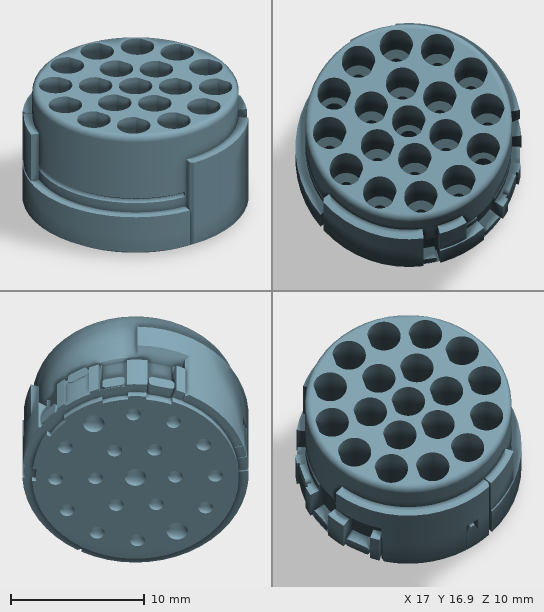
import cadquery as cq
import math

sleeve_radius = 8.5
tab_radius = 8.4
body_radius = 7.75
body_height = 10.0
rim_fillet = 0.46

sleeve_bottom = 0.5
ring_top = 3.48
sleeve_top = 7.5

groove_height = 4.49
groove_depth = 0.29
groove_half_width = 0.2
groove_slope = groove_half_width / groove_depth
relief_radius = body_radius - groove_depth
anchor_radius = 7.14

arm_bottom = groove_height + groove_slope * (sleeve_radius - relief_radius)

contact_ring_radii = {12: 6.0, 6: 3.0, 1: 0.0}
socket_radius = 1.25
socket_flat = 1.15
socket_depth = 5.0
contact_hole_diameter = 1.1
wide_hole_diameter = 1.6
wide_hole_places = [(12, 90), (12, 270), (1, 90)]

slit_front_right = -30.0
slit_front_left = 210.0
slit_rear_left = 147.6
tab_end = 232.5
short_block_start = 142.6
arm_end = 122.5
arm_root = 150.0
relief_left_end = 127.5
side_gap_start = 117.2
rear_block_half_angle = 12.5
right_block_start = 37.4
right_block_end = 52.4
right_sleeve_end = 28.8

slit_width = 0.1
slit_chamfer = 0.25

pad_radius = 8.35
pad_height = 1.0
pad_corner = 0.34
pad_length = 1.7
long_pad_length = 1.97
low_pad_center = 1.15
low_pad_angles = (30, 70, 110)
rear_pad_top = 3.86
rear_pad_inner = 7.92
rear_pocket_half_width = 1.09
rear_pocket_radius = 8.3
web_thickness = 0.03

key_angle = 197.0
key_groove_width = 1.1
key_groove_top = 4.0
key_width = 1.02
key_tip_width = 0.37
key_shoulder = 2.46


def polar(radius, angle):
    """Point at a radius and an angle in degrees."""
    turn = math.radians(angle)
    return radius * math.cos(turn), radius * math.sin(turn)


def sector(inner, outer, start, end, bottom, top):
    """Ring segment between two radii, two angles and two heights."""
    middle = (start + end) / 2
    return (
        cq.Workplane("XY", origin=(0, 0, bottom))
        .moveTo(*polar(inner, start))
        .lineTo(*polar(outer, start))
        .threePointArc(polar(outer, middle), polar(outer, end))
        .lineTo(*polar(inner, end))
        .threePointArc(polar(inner, middle), polar(inner, start))
        .close()
        .extrude(top - bottom)
    )


def overhanging_arm():
    """High arm at the left rear; its conical underside carries on from the upper flank of the groove."""
    return (
        cq.Workplane("XZ")
        .moveTo(anchor_radius, groove_height + groove_half_width)
        .lineTo(body_radius, groove_height + groove_half_width)
        .lineTo(sleeve_radius, arm_bottom)
        .lineTo(sleeve_radius, sleeve_top)
        .lineTo(anchor_radius, sleeve_top)
        .close()
        .revolve(arm_root - arm_end, (0, 0, 0), (0, 1, 0))
        .rotate((0, 0, 0), (0, 0, 1), arm_end)
    )


def slit(angle, side, bottom, top):
    """Radial slit with one wall at the angle; the other wall, on the given side, has a chamfered edge."""
    overshoot = 0.34
    outer = sleeve_radius + overshoot
    mouth = slit_width + slit_chamfer + overshoot
    throat = sleeve_radius - slit_chamfer
    outline = [
        (body_radius, 0),
        (outer, 0),
        (outer, side * mouth),
        (throat, side * slit_width),
        (body_radius, side * slit_width),
    ]
    return (
        cq.Workplane("XY", origin=(0, 0, bottom))
        .polyline(outline).close()
        .extrude(top - bottom)
        .rotate((0, 0, 0), (0, 0, 1), angle)
    )


def radial_plane(angle, radius):
    """Workplane facing outward at an angle; local x runs counter-clockwise and local y is up."""
    x, y = polar(radius, angle)
    turn = math.radians(angle)
    return cq.Workplane(cq.Plane(
        origin=(x, y, 0),
        xDir=(-math.sin(turn), math.cos(turn), 0),
        normal=(math.cos(turn), math.sin(turn), 0),
    ))


def pad(angle, length, center_height, inner):
    """Round-cornered pad reaching outward from an inner distance."""
    return (
        radial_plane(angle, inner)
        .center(0, center_height)
        .rect(length, pad_height)
        .extrude(pad_radius - inner)
        .edges(cq.selectors.ParallelDirSelector(cq.Vector(*polar(1, angle), 0)))
        .fillet(pad_corner)
    )


def make_body():
    """Round body with a filleted top edge and a V-groove."""
    body = cq.Workplane("XY").circle(body_radius).extrude(body_height)
    body = body.faces(">Z").edges().fillet(rim_fillet)
    groove = (
        cq.Workplane("XZ")
        .moveTo(body_radius, groove_height - groove_half_width)
        .lineTo(relief_radius, groove_height)
        .lineTo(body_radius, groove_height + groove_half_width)
        .close()
        .revolve(360, (0, 0, 0), (0, 1, 0))
    )
    return body.cut(groove)


def cut_reliefs(body):
    """Shallow reliefs in the lower body, behind the gaps in the sleeve."""
    gaps = [
        (90 + rear_block_half_angle, side_gap_start),
        (180 - side_gap_start, 90 - rear_block_half_angle),
        (relief_left_end, short_block_start),
        (right_sleeve_end, right_block_start),
    ]
    for start, end in gaps:
        body = body.cut(sector(relief_radius, sleeve_radius, start, end, 0, groove_height))
    return body


def make_sleeve():
    """All sleeve segments with their slits."""
    rear_start = 90 - rear_block_half_angle
    rear_end = 90 + rear_block_half_angle
    low_segments = [
        (slit_front_left, 360 + slit_front_right),
        (short_block_start, slit_rear_left),
        (side_gap_start, relief_left_end),
        (rear_start, rear_end),
        (right_block_start, 180 - side_gap_start),
    ]
    walls = [
        (slit_rear_left, slit_front_left),
        (slit_front_right, right_sleeve_end),
    ]
    tabs = [
        (slit_front_left, tab_end),
        (right_block_start, right_block_end),
    ]
    heights = [
        (low_segments, sleeve_radius, sleeve_bottom, ring_top),
        (walls, sleeve_radius, sleeve_bottom, sleeve_top),
        (tabs, tab_radius, ring_top, sleeve_top),
    ]
    sleeve = overhanging_arm()
    for segments, radius, bottom, top in heights:
        for start, end in segments:
            sleeve = sleeve.union(sector(anchor_radius, radius, start, end, bottom, top))
    sleeve = sleeve.cut(slit(slit_front_right, 1, sleeve_bottom, sleeve_top))
    sleeve = sleeve.cut(slit(slit_front_left, -1, sleeve_bottom, sleeve_top))
    sleeve = sleeve.cut(slit(slit_rear_left, 1, sleeve_bottom, arm_bottom))
    return sleeve.union(overhanging_arm())


def cut_rear_pocket(sleeve):
    """Shallow pocket across the outside of the rear block."""
    pocket = (
        cq.Workplane("XY", origin=(0, 0, sleeve_bottom))
        .center(0, sleeve_radius)
        .rect(2 * rear_pocket_half_width, sleeve_radius)
        .extrude(ring_top - sleeve_bottom)
    )
    core = cq.Workplane("XY").circle(rear_pocket_radius).extrude(body_height)
    return sleeve.cut(pocket.cut(core))


def add_key(sleeve):
    """Groove through the left wall to the body, holding a pointed key flush with the sleeve."""
    overshoot = 0.17
    wall = sleeve_radius - body_radius
    groove = (
        radial_plane(key_angle, body_radius)
        .center(0, (sleeve_bottom + key_groove_top) / 2)
        .rect(key_groove_width, key_groove_top - sleeve_bottom)
        .extrude(wall + overshoot)
    )
    key = (
        radial_plane(key_angle, body_radius)
        .moveTo(-key_width / 2, sleeve_bottom)
        .lineTo(key_width / 2, sleeve_bottom)
        .lineTo(key_width / 2, key_shoulder)
        .lineTo(key_tip_width / 2, ring_top)
        .lineTo(-key_tip_width / 2, ring_top)
        .lineTo(-key_width / 2, key_shoulder)
        .close()
        .extrude(wall)
    )
    envelope = cq.Workplane("XY").circle(sleeve_radius).extrude(body_height)
    return sleeve.cut(groove).union(key.intersect(envelope))


def add_pads(part):
    """Pads in the sleeve gaps and on the rear block, with thin webs closing the open gaps below."""
    part = part.union(pad(90, pad_length, rear_pad_top - pad_height / 2, rear_pad_inner))
    for angle in low_pad_angles:
        part = part.union(pad(angle, pad_length, low_pad_center, anchor_radius))
    long_pad_angle = (relief_left_end + short_block_start) / 2
    part = part.union(pad(long_pad_angle, long_pad_length, low_pad_center, anchor_radius))
    web_gaps = [
        (right_sleeve_end, right_block_start),
        (180 - side_gap_start, 90 - rear_block_half_angle),
        (90 + rear_block_half_angle, side_gap_start),
    ]
    for start, end in web_gaps:
        web = sector(anchor_radius, pad_radius, start, end, sleeve_bottom, sleeve_bottom + web_thickness)
        part = part.union(web)
    return part


def cut_contacts(part):
    """Sockets and through holes on two rings and at the center."""
    for count, ring_radius in contact_ring_radii.items():
        for index in range(count):
            angle = (90 + index * 360 / count) % 360
            x, y = polar(ring_radius, angle)
            is_wide = (count, angle) in wide_hole_places
            diameter = wide_hole_diameter if is_wide else contact_hole_diameter
            hole = cq.Workplane("XY").center(x, y).circle(diameter / 2).extrude(body_height)
            base = cq.Workplane("XY", origin=(x, y, body_height - socket_depth))
            socket = base.circle(socket_radius).extrude(socket_depth)
            flat_side = base.center(0, socket_flat + socket_radius)
            flat_side = flat_side.rect(2 * socket_radius, 2 * socket_radius).extrude(socket_depth)
            part = part.cut(hole).cut(socket.cut(flat_side))
    return part


body = cut_reliefs(make_body())
sleeve = add_key(cut_rear_pocket(make_sleeve()))
result = cut_contacts(add_pads(body.union(sleeve)))